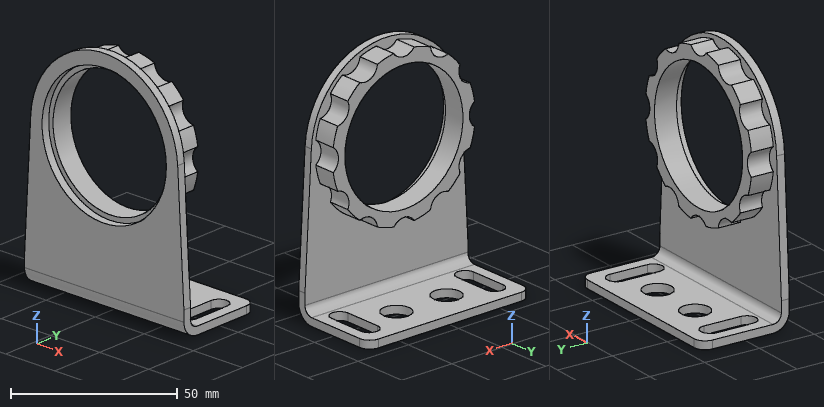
import cadquery as cq
import math

height = 84.5
width = 65.0
depth = 32.0
thickness = 2.95
bend_inner_radius = 3.0
bend_outer_radius = bend_inner_radius + thickness

head_radius = 30.0
ring_axis_z = height - head_radius
taper_start_z = 10.0
plate_hole_radius = 25.3

foot_corner_radius = 4.0
foot_hole_diameter = 10.0
foot_hole_spacing = 20.0
foot_hole_from_back = 13.0
slot_width = 6.5
slot_length = 20.0
slot_spacing = 50.0
slot_from_back = 4.9

ring_length = 8.0
ring_outer_radius = 28.5
ring_bore_radius = 23.5
groove_count = 12
groove_radius = 5.0
groove_depth = 2.4


def make_bent_sheet():
    """L-shaped sheet: front face at Y = 0, underside at Z = 0."""
    sheet = (
        cq.Workplane("YZ")
        .moveTo(0, height)
        .lineTo(0, 0)
        .lineTo(depth, 0)
        .lineTo(depth, thickness)
        .lineTo(thickness, thickness)
        .lineTo(thickness, height)
        .close()
        .extrude(width / 2, both=True)
    )
    sheet = sheet.edges(cq.selectors.NearestToPointSelector((0, 0, 0))).fillet(bend_outer_radius)
    inner_corner = cq.selectors.NearestToPointSelector((0, thickness, thickness))
    return sheet.edges(inner_corner).fillet(bend_inner_radius)


def make_front_outline():
    """Prism of the front outline: its tapered sides run tangent into the round head."""
    half_width = width / 2
    rise = ring_axis_z - taper_start_z
    corner_distance = math.hypot(half_width, rise)
    tangent_angle = math.acos(head_radius / corner_distance) - math.atan2(rise, half_width)
    tangent_x = head_radius * math.cos(tangent_angle)
    tangent_z = ring_axis_z + head_radius * math.sin(tangent_angle)
    return (
        cq.Workplane("XZ")
        .moveTo(-half_width, 0)
        .lineTo(half_width, 0)
        .lineTo(half_width, taper_start_z)
        .lineTo(tangent_x, tangent_z)
        .threePointArc((0, height), (-tangent_x, tangent_z))
        .lineTo(-half_width, taper_start_z)
        .close()
        .extrude(-depth)
    )


def make_foot_cutters():
    """Two round holes and two slots through the foot."""
    hole_y = depth - foot_hole_from_back
    slot_y = depth - slot_from_back - slot_length / 2
    holes = (
        cq.Workplane("XY")
        .pushPoints([(side * foot_hole_spacing / 2, hole_y) for side in (-1, 1)])
        .circle(foot_hole_diameter / 2)
        .extrude(thickness)
    )
    slots = (
        cq.Workplane("XY")
        .pushPoints([(side * slot_spacing / 2, slot_y) for side in (-1, 1)])
        .slot2D(slot_length, slot_width, 90)
        .extrude(thickness + bend_inner_radius)
    )
    return holes.union(slots)


def make_bracket():
    bracket = make_bent_sheet().intersect(make_front_outline())
    bracket = bracket.edges("|Z and >Y").fillet(foot_corner_radius)
    plate_hole = (
        cq.Workplane("XZ")
        .center(0, ring_axis_z)
        .circle(plate_hole_radius)
        .extrude(-thickness)
    )
    return bracket.cut(plate_hole).cut(make_foot_cutters())


def make_ring():
    """Ring seated on the back of the plate, scalloped by evenly spaced grooves."""
    back_of_plate = cq.Workplane("XZ", origin=(0, thickness, ring_axis_z))
    ring = back_of_plate.circle(ring_outer_radius).circle(ring_bore_radius).extrude(-ring_length)
    groove_axis_radius = ring_outer_radius - groove_depth + groove_radius
    grooves = (
        back_of_plate
        .polarArray(groove_axis_radius, 0, 360, groove_count)
        .circle(groove_radius)
        .extrude(-ring_length)
    )
    return ring.cut(grooves)


bracket = make_bracket()
ring = make_ring()

result = cq.Compound.makeCompound([bracket.val(), ring.val()])